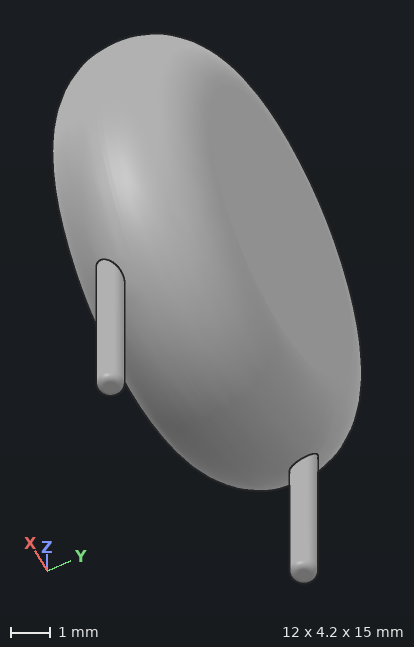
import cadquery as cq

disc_diameter = 12.0
disc_thickness = 4.2
rim_band_width = 0.12
rim_radius = (disc_thickness - rim_band_width) / 2

overall_height = 15.03
lead_diameter = 0.72
lead_spacing = 7.5
lead_stagger = 1.62
lead_tip_fillet = 0.18
lead_top_z = -disc_diameter / 4
lead_bottom_z = disc_diameter / 2 - overall_height


def make_disc():
    """Round disc with both edges fully rounded down to a narrow rim band."""
    disc = cq.Workplane("XZ").circle(disc_diameter / 2).extrude(disc_thickness / 2, both=True)
    return disc.faces("|Y").edges().fillet(rim_radius)


def make_lead(x, y):
    """Vertical round lead with a rounded lower tip."""
    lead = (
        cq.Workplane("XY", origin=(x, y, lead_bottom_z))
        .circle(lead_diameter / 2)
        .extrude(lead_top_z - lead_bottom_z)
    )
    return lead.faces("<Z").edges().fillet(lead_tip_fillet)


result = make_disc()
for side in (-1, 1):
    lead = make_lead(side * lead_spacing / 2, -side * lead_stagger / 2)
    result = result.union(lead)